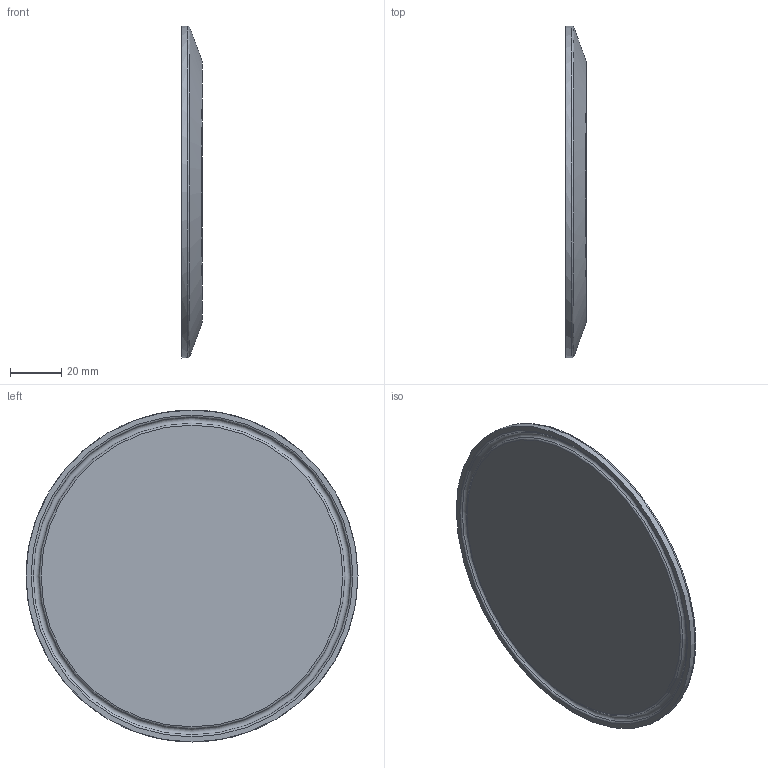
import cadquery as cq
import math

thickness = 8.0
outer_radius = 130.0 / 2
rim_width = 2.95
rim_fillet = 1.0
back_fillet = 2.0
cone_angle = 20.0

groove_radius = 61.05
groove_half_width = 1.97
groove_bottom_radius = 1.25
groove_lip_radius = 0.8

back_radius = outer_radius - (thickness - rim_width) / math.tan(math.radians(cone_angle))

turn = math.asin(groove_half_width / (groove_bottom_radius + groove_lip_radius))
groove_depth = (groove_bottom_radius + groove_lip_radius) * (1 - math.cos(turn))


def make_body():
    """Revolve the half profile, then round both ends of the cone."""
    body = (
        cq.Workplane("XY")
        .moveTo(0, 0)
        .lineTo(0, outer_radius)
        .lineTo(rim_width, outer_radius)
        .lineTo(thickness, back_radius)
        .lineTo(thickness, 0)
        .close()
        .revolve(360, (0, 0, 0), (1, 0, 0))
    )
    rim_corner = cq.selectors.BoxSelector(
        (rim_width - rim_fillet / 2, -outer_radius, -outer_radius),
        (rim_width + rim_fillet / 2, outer_radius, outer_radius),
    )
    body = body.edges(rim_corner).fillet(rim_fillet)
    return body.faces(">X").edges().fillet(back_fillet)


def lip_point(angle, side):
    """Point on a lip arc, at an angle from its tangency with the sealing face."""
    depth = groove_lip_radius * (1 - math.cos(angle))
    offset = groove_half_width - groove_lip_radius * math.sin(angle)
    return depth, groove_radius + side * offset


def make_groove():
    """Revolve the groove section: lip arc, bottom arc, lip arc, closed along the face."""
    inner, outer = -1, 1
    return (
        cq.Workplane("XY")
        .moveTo(*lip_point(0, inner))
        .threePointArc(lip_point(turn / 2, inner), lip_point(turn, inner))
        .threePointArc((groove_depth, groove_radius), lip_point(turn, outer))
        .threePointArc(lip_point(turn / 2, outer), lip_point(0, outer))
        .close()
        .revolve(360, (0, 0, 0), (1, 0, 0))
    )


result = make_body().cut(make_groove())